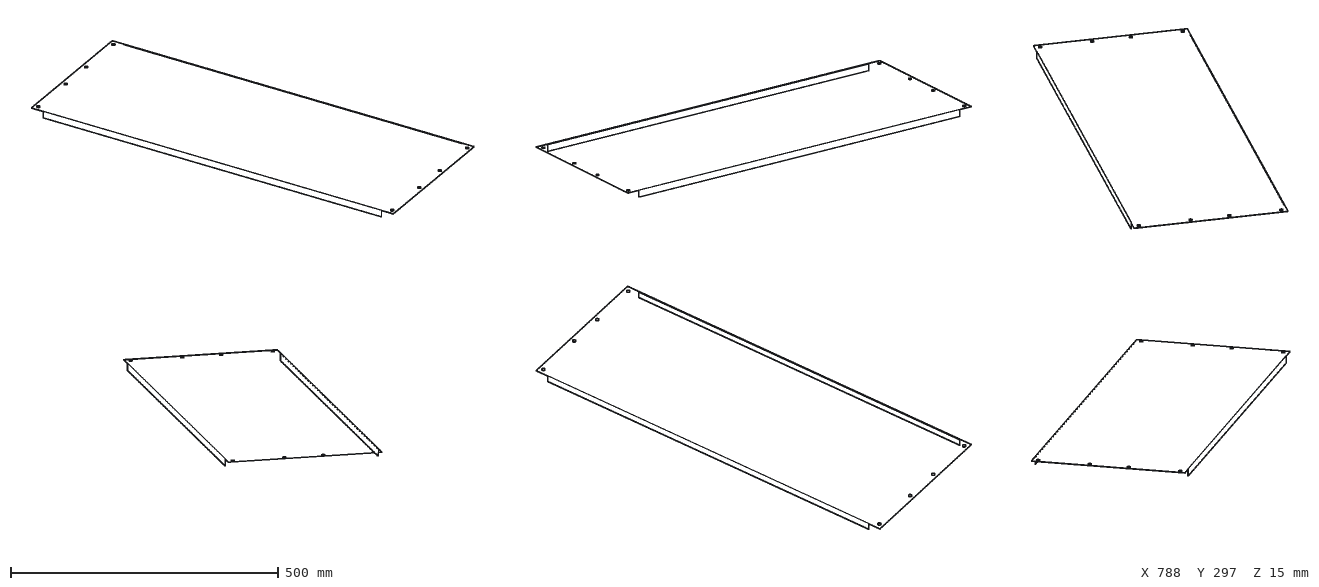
import cadquery as cq

PANEL_LENGTH = 788.0
PANEL_WIDTH = 297.0
PANEL_HEIGHT = 15.0
SHEET_THICKNESS = 1.5

FLANGE_SETBACK = 26.0
FLANGE_LENGTH = PANEL_LENGTH - 2 * FLANGE_SETBACK

HOLE_DIAMETER = 6.5
HOLE_EDGE_DISTANCE = 9.0
HOLE_ROW_SPACING = PANEL_LENGTH - 2 * HOLE_EDGE_DISTANCE
CORNER_HOLE_SPACING = 275.0
INNER_HOLE_SPACING = 75.0


def make_sheet():
    """Flat sheet with its top face at Z = PANEL_HEIGHT."""
    sheet = cq.Workplane("XY").box(
        PANEL_LENGTH, PANEL_WIDTH, SHEET_THICKNESS, centered=(True, True, False)
    )
    return sheet.translate((0, 0, PANEL_HEIGHT - SHEET_THICKNESS))


def make_flange(side):
    """Downturned flange flush with the long edge on the given Y side (+1 or -1)."""
    flange = cq.Workplane("XY").box(
        FLANGE_LENGTH, SHEET_THICKNESS, PANEL_HEIGHT, centered=(True, True, False)
    )
    return flange.translate((0, side * (PANEL_WIDTH - SHEET_THICKNESS) / 2, 0))


def make_hole_cutters(y_spacing):
    """Four vertical cylinders, two in each hole row, the given Y distance apart."""
    return (
        cq.Workplane("XY")
        .rarray(HOLE_ROW_SPACING, y_spacing, 2, 2)
        .circle(HOLE_DIAMETER / 2)
        .extrude(PANEL_HEIGHT)
    )


result = make_sheet()

for side in (-1, 1):
    result = result.union(make_flange(side))

for y_spacing in (CORNER_HOLE_SPACING, INNER_HOLE_SPACING):
    result = result.cut(make_hole_cutters(y_spacing))